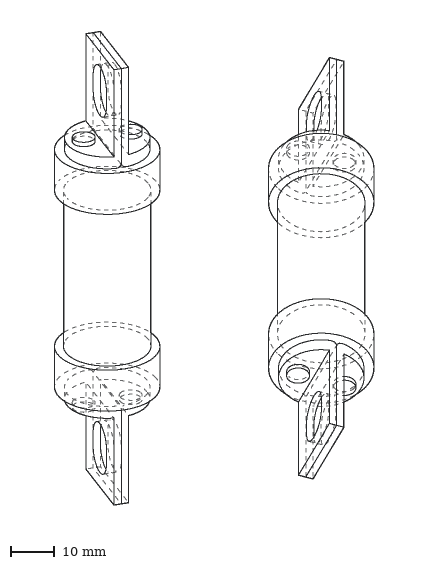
import cadquery as cq
import math

total_length = 111.6
half_length = total_length / 2

barrel_diameter = 20.0
collar_diameter = 24.1
collar_outer_z = 30.5
collar_height = 10.5

strip_width = 19.2
blade_thickness = 1.8
flange_thickness = 3.0
bend_radius = 1.1
flange_radius = math.hypot(strip_width / 2, blade_thickness)
slot_width = 9.2
slot_length = 12.5
slot_center_z = 45.8
rivet_diameter = 5.2
rivet_height = 1.1
rivet_offset = 5.7


def make_barrel():
    """Barrel and its two collars, centred on the origin."""
    barrel = cq.Workplane("XY").circle(barrel_diameter / 2).extrude(collar_outer_z, both=True)
    for bottom_z in (collar_outer_z - collar_height, -collar_outer_z):
        collar = (
            cq.Workplane("XY", origin=(0, 0, bottom_z))
            .circle(collar_diameter / 2)
            .extrude(collar_height)
        )
        barrel = barrel.union(collar)
    return barrel


def make_terminal():
    """Terminal at the top end, on the +Y side of the centre plane."""
    flange_top_z = collar_outer_z + flange_thickness
    strip = (
        cq.Workplane("YZ")
        .moveTo(bend_radius, collar_outer_z)
        .lineTo(flange_radius, collar_outer_z)
        .lineTo(flange_radius, flange_top_z)
        .lineTo(blade_thickness, flange_top_z)
        .lineTo(blade_thickness, half_length)
        .lineTo(0, half_length)
        .lineTo(0, collar_outer_z + bend_radius)
        .radiusArc((bend_radius, collar_outer_z), -bend_radius)
        .close()
        .extrude(strip_width / 2, both=True)
    )

    round_limit = (
        cq.Workplane("XY", origin=(0, 0, collar_outer_z))
        .circle(flange_radius)
        .extrude(half_length - collar_outer_z)
    )
    strip = strip.intersect(round_limit)

    slot = (
        cq.Workplane("XZ", origin=(0, 0, slot_center_z))
        .slot2D(slot_length, slot_width, 90)
        .extrude(blade_thickness, both=True)
    )

    rivet = (
        cq.Workplane("XY", origin=(0, rivet_offset, flange_top_z))
        .circle(rivet_diameter / 2)
        .extrude(rivet_height)
    )
    return strip.cut(slot).union(rivet)


barrel = make_barrel()

terminals = []
for end_angle in (0, 180):
    for side_angle in (0, 180):
        terminal = (
            make_terminal()
            .rotate((0, 0, 0), (0, 0, 1), side_angle)
            .rotate((0, 0, 0), (1, 0, 0), end_angle)
        )
        terminals.append(terminal.val())

result = cq.Compound.makeCompound([barrel.val(), *terminals])